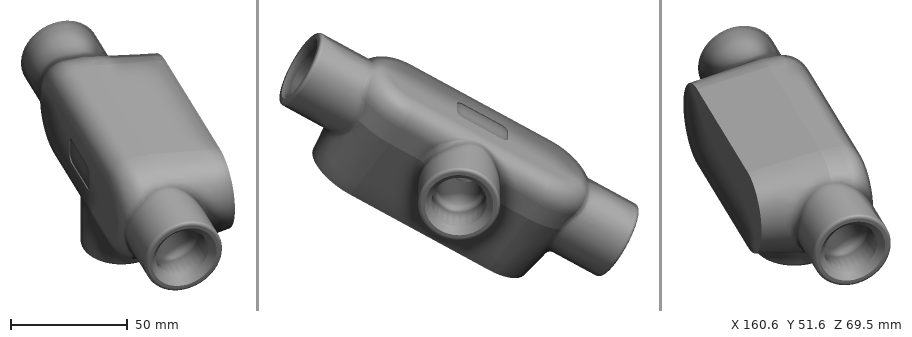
import cadquery as cq
import math

overall_length = 160.6
branch_reach = 45.5
back_y = -19.1
mouth_y = 32.5

end_center_x = 35.0
body_radius = 24.0
mouth_radius = 19.0
back_flat_radius = 13.7
back_fillet = body_radius - back_flat_radius
draft_angle = math.degrees(math.atan((body_radius - mouth_radius) / mouth_y))

hub_diameter = 35.2
hub_rim_fillet = 1.5
junction_fillet = 2.5

entry_diameter = 29.4
socket_diameter = 23.8
socket_end_diameter = 22.8
throat_diameter = 19.6
entry_depth = (entry_diameter - socket_diameter) / 2
socket_depth = 14.5
flare_radius = 4.8

label_width = 25.9
label_height = 12.5
label_corner = 3.2
label_depth = 0.5

edge_tolerance = 0.02


def round_ended_outline(radius):
    """Round-ended outline in the XZ plane through the run axis."""
    return cq.Workplane("XZ").slot2D(2 * (end_center_x + radius), 2 * radius)


def make_body():
    back_half = round_ended_outline(body_radius).extrude(-back_y)
    back_half = back_half.faces("<Y").edges().fillet(back_fillet)
    mouth_half = round_ended_outline(body_radius).extrude(-mouth_y, taper=draft_angle)
    return back_half.union(mouth_half)


def make_hub(reach):
    """Solid hub along +X from the origin to its face."""
    return cq.Workplane("YZ").circle(hub_diameter / 2).extrude(reach)


def make_bore(reach):
    """Bore along +X from the origin to the hub face, revolved about X."""
    entry_radius = entry_diameter / 2
    socket_radius = socket_diameter / 2
    socket_end_radius = socket_end_diameter / 2
    throat_radius = throat_diameter / 2
    flare_x = reach - socket_depth
    flare_angle = math.acos(1 - (socket_end_radius - throat_radius) / flare_radius)
    throat_x = flare_x - flare_radius * math.sin(flare_angle)
    flare_middle = (
        throat_x + flare_radius * math.sin(flare_angle / 2),
        throat_radius + flare_radius * (1 - math.cos(flare_angle / 2)),
    )
    return (
        cq.Workplane("XZ")
        .lineTo(0, throat_radius)
        .lineTo(throat_x, throat_radius)
        .threePointArc(flare_middle, (flare_x, socket_end_radius))
        .lineTo(reach - entry_depth, socket_radius)
        .lineTo(reach, entry_radius)
        .lineTo(reach, 0)
        .close()
        .revolve(360, (0, 0, 0), (1, 0, 0))
    )


def swing_from_x(shape, angle):
    """Turn a shape lying along +X about the Y axis; 90 degrees points it along -Z."""
    return shape.rotate((0, 0, 0), (0, 1, 0), angle)


def is_junction_edge(edge, angle, reach):
    """True for a curved edge where a hub's cylinder leaves the body."""
    axis = cq.Vector(math.cos(math.radians(angle)), 0, -math.sin(math.radians(angle)))
    middle = edge.positionAt(0.5)
    along = middle.dot(axis)
    radius = (middle - axis * along).Length
    on_cylinder = abs(radius - hub_diameter / 2) < edge_tolerance
    inside_rim = 0 < along < reach - edge_tolerance
    return edge.geomType() != "LINE" and on_cylinder and inside_rim


def cut_label_recess(part):
    recess = (
        cq.Workplane("XZ", origin=(0, back_y, 0))
        .rect(label_width, label_height)
        .extrude(-label_depth)
        .edges("|Y")
        .fillet(label_corner)
    )
    return part.cut(recess)


hubs = [
    (0, overall_length / 2),
    (180, overall_length / 2),
    (90, branch_reach),
]

part = make_body()
for angle, reach in hubs:
    part = part.union(swing_from_x(make_hub(reach), angle))
for angle, reach in hubs:
    junction = part.edges().filter(lambda edge: is_junction_edge(edge, angle, reach))
    part = junction.fillet(junction_fillet)
for side in (">X", "<X", "<Z"):
    part = part.faces(side).edges().fillet(hub_rim_fillet)
for angle, reach in hubs:
    part = part.cut(swing_from_x(make_bore(reach), angle))

result = cut_label_recess(part)